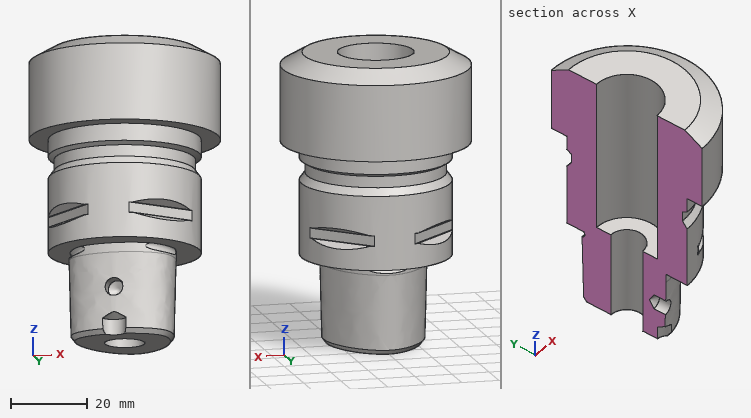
import cadquery as cq
import math


nut_radius = 25.0
nut_bottom_z = 30.3
part_top_z = 54.0
nut_chamfer_width = 5.75
nut_chamfer_angle = 30.0
nut_chamfer_height = nut_chamfer_width * math.tan(math.radians(nut_chamfer_angle))

flange_radius = 20.0
groove_radius = 18.5
groove_lower_edge_z = 19.85
groove_floor_bottom_z = 21.85
groove_floor_top_z = 24.9
groove_upper_edge_z = 25.75

tool_bore_diameter = 20.0
tool_bore_depth = 50.0
through_bore_diameter = 10.5

slot_count = 4
slot_first_angle = 45.0
slot_floor_distance = 17.45
slot_straight_depth = 0.5
slot_center_z = 7.9
slot_width = 2.75
slot_flare_angle = 33.0
slot_cut_clearance = 1.0
slot_reach = flange_radius + slot_cut_clearance

shank_length = 24.0
shank_mean_radius = 14.0
lobe_count = 3
lobe_height = 0.9
collar_height = 2.5
taper_ratio = 1 / 40
tip_chamfer_height = 1.3
tip_chamfer_width = 1.0
outline_points = 48

undercut_floor_radius = 14.0
undercut_section_radius = 1.3
undercut_center_z = -0.8

drill_point_angle = 118.0
side_hole_diameter = 4.7
side_hole_z = -11.65
side_hole_depth = 5.0
key_notch_diameter = 6.5
key_notch_axis_y = -13.4
key_notch_depth = 4.1


def revolve_profile(points):
    """Solid of revolution about Z from (radius, z) points."""
    return cq.Workplane("XZ").polyline(points).close().revolve(360, (0, 0), (0, 1))


def make_body():
    """Flange, groove and nut turned as one solid."""
    return revolve_profile([
        (0, 0),
        (flange_radius, 0),
        (flange_radius, groove_lower_edge_z),
        (groove_radius, groove_floor_bottom_z),
        (groove_radius, groove_floor_top_z),
        (flange_radius, groove_upper_edge_z),
        (flange_radius, nut_bottom_z),
        (nut_radius, nut_bottom_z),
        (nut_radius, part_top_z - nut_chamfer_height),
        (nut_radius - nut_chamfer_width, part_top_z),
        (0, part_top_z),
    ])


def lobed_wire(mean_radius, z):
    """Constant-width outline whose normal distance is mean_radius + a wave of lobe_height."""
    points = []
    for i in range(outline_points):
        a = 2 * math.pi * i / outline_points
        distance = mean_radius + lobe_height * math.cos(lobe_count * a)
        slope = -lobe_count * lobe_height * math.sin(lobe_count * a)
        along_lobe = distance * math.cos(a) - slope * math.sin(a)
        across_lobe = distance * math.sin(a) + slope * math.cos(a)
        points.append(cq.Vector(-across_lobe, along_lobe, z))
    return cq.Wire.assembleEdges([cq.Edge.makeSpline(points, periodic=True)])


def make_shank():
    """Ruled lofts between lobed outlines from the flange down to the tip."""
    taper_end_z = tip_chamfer_height - shank_length
    taper_end_radius = shank_mean_radius + (taper_end_z + collar_height) * taper_ratio
    sections = [
        (shank_mean_radius, 0),
        (shank_mean_radius, -collar_height),
        (taper_end_radius, taper_end_z),
        (taper_end_radius - tip_chamfer_width, -shank_length),
    ]
    shank = cq.Workplane("XY")
    for upper, lower in zip(sections, sections[1:]):
        wires = [lobed_wire(*upper), lobed_wire(*lower)]
        shank = shank.union(cq.Workplane(obj=cq.Solid.makeLoft(wires, True)))
    return shank


def make_undercut():
    """Ring of circular section whose inner rim is the undercut floor."""
    ring_radius = undercut_floor_radius + undercut_section_radius
    return (
        cq.Workplane("XZ")
        .center(ring_radius, undercut_center_z)
        .circle(undercut_section_radius)
        .revolve(360, (-ring_radius, 0), (-ring_radius, 1))
    )


def make_slot(angle):
    """Straight slot facing the given direction: square bottom, then flaring walls."""
    flare_start = slot_floor_distance + slot_straight_depth
    flare_depth = slot_reach - flare_start
    floor_half = slot_width / 2
    mouth_half = floor_half + flare_depth * math.tan(math.radians(slot_flare_angle))
    return (
        cq.Workplane("XZ")
        .polyline([
            (slot_floor_distance, slot_center_z - floor_half),
            (flare_start, slot_center_z - floor_half),
            (slot_reach, slot_center_z - mouth_half),
            (slot_reach, slot_center_z + mouth_half),
            (flare_start, slot_center_z + floor_half),
            (slot_floor_distance, slot_center_z + floor_half),
        ])
        .close()
        .extrude(flange_radius, both=True)
        .rotate((0, 0, 0), (0, 0, 1), angle)
    )


def make_drill(diameter, depth):
    """Drill shape along +Z from the origin: full diameter to depth, then a conical point."""
    radius = diameter / 2
    point_height = radius / math.tan(math.radians(drill_point_angle / 2))
    return revolve_profile([
        (0, 0),
        (radius, 0),
        (radius, depth),
        (0, depth + point_height),
    ])


def make_side_hole():
    """Blind hole toward +Y, its depth measured from the mean radius of the shank."""
    drill = make_drill(side_hole_diameter, side_hole_depth)
    return drill.rotate((0, 0, 0), (1, 0, 0), -90).translate((0, -shank_mean_radius, side_hole_z))


def make_key_notch():
    """Drilled notch in the tip, its axis just outside the -Y flat."""
    drill = make_drill(key_notch_diameter, key_notch_depth)
    return drill.translate((0, key_notch_axis_y, -shank_length))


def make_bores():
    """Flat-bottomed tool bore and the smaller bore through the whole part."""
    tool_bore = (
        cq.Workplane("XY")
        .workplane(offset=part_top_z - tool_bore_depth)
        .circle(tool_bore_diameter / 2)
        .extrude(tool_bore_depth)
    )
    through_bore = (
        cq.Workplane("XY")
        .workplane(offset=-shank_length)
        .circle(through_bore_diameter / 2)
        .extrude(shank_length + part_top_z)
    )
    return tool_bore.union(through_bore)


shank = make_shank().cut(make_undercut()).cut(make_side_hole()).cut(make_key_notch())
result = make_body().union(shank).cut(make_bores())
for slot in range(slot_count):
    result = result.cut(make_slot(slot_first_angle + slot * 360 / slot_count))